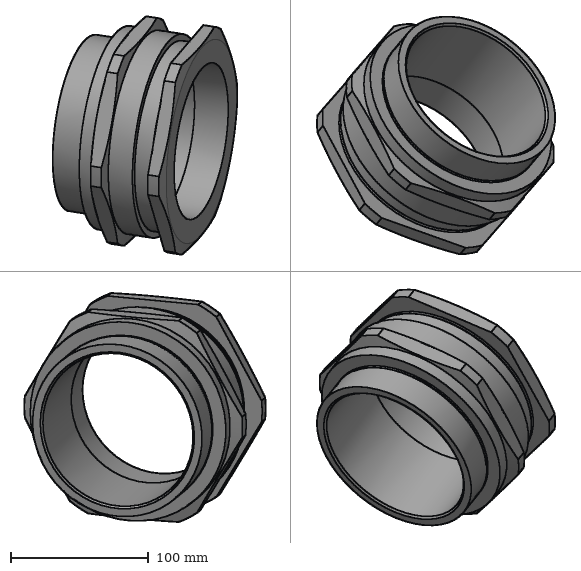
import cadquery as cq
import math

GROOVE_START = 22.3
COLLAR_START = 24.3
HEX_START = 33.8
HEX_END = 46.7
BODY_END = 65.3
SCREW_GROOVE_START = 78.0
CAP_HEX_START = 80.5
TOTAL_LENGTH = 91.3

BORE_RADIUS = 57.6
BORE_CHAMFER = 1.5
THREAD_RADIUS = 65.0
COLLAR_RADIUS = 75.0
SCREW_RADIUS = 70.2
THREAD_GROOVE_DEPTH = 1.2
SCREW_GROOVE_DEPTH = 1.5

ACROSS_FLATS = 152.5
CORNER_RADIUS = 83.8
FACE_RADIUS = COLLAR_RADIUS
BEVEL_LENGTH = 2.3


def revolve_about_x(outline):
    """Revolve a closed (x, radius) outline about the X axis."""
    return cq.Workplane("XY").polyline(outline).close().revolve(360, (0, 0, 0), (1, 0, 0))


def bevelled_hex(start, end, bevel_start):
    """Hexagon with turned corners, bevelled at its +X end and optionally at its -X end."""
    across_corners = ACROSS_FLATS / math.cos(math.pi / 6)
    prism = cq.Workplane("YZ", origin=(start, 0, 0)).polygon(6, across_corners).extrude(end - start)
    outline = [(start, 0)]
    if bevel_start:
        outline += [(start, FACE_RADIUS), (start + BEVEL_LENGTH, CORNER_RADIUS)]
    else:
        outline += [(start, CORNER_RADIUS)]
    outline += [(end - BEVEL_LENGTH, CORNER_RADIUS), (end, FACE_RADIUS), (end, 0)]
    return prism.intersect(revolve_about_x(outline))


def grooved_cylinder(start, groove_start, end, radius, depth):
    """Cylinder ending in a 45 degree run-out followed by a cone that rises to the shoulder."""
    return revolve_about_x([
        (start, 0),
        (start, radius),
        (groove_start, radius),
        (groove_start + depth, radius - depth),
        (end, radius),
        (end, 0),
    ])


def cylinder(start, end, radius):
    return cq.Workplane("YZ", origin=(start, 0, 0)).circle(radius).extrude(end - start)


def make_gland_body():
    """Entry thread, collar, hexagon and socket barrel with a chamfered bore mouth."""
    thread = grooved_cylinder(0, GROOVE_START, COLLAR_START, THREAD_RADIUS, THREAD_GROOVE_DEPTH)
    barrel = cylinder(COLLAR_START, BODY_END, COLLAR_RADIUS)
    bore = cylinder(0, BODY_END, BORE_RADIUS)
    mouth = revolve_about_x([
        (0, 0),
        (0, BORE_RADIUS + BORE_CHAMFER),
        (BORE_CHAMFER, BORE_RADIUS),
        (BORE_CHAMFER, 0),
    ])
    hexagon = bevelled_hex(HEX_START, HEX_END, bevel_start=True)
    return thread.union(barrel).union(hexagon).cut(bore).cut(mouth)


def make_pressure_screw():
    """Cylindrical screw with a run-out groove under its hexagonal head."""
    shank = grooved_cylinder(
        BODY_END, SCREW_GROOVE_START, CAP_HEX_START, SCREW_RADIUS, SCREW_GROOVE_DEPTH
    )
    head = bevelled_hex(CAP_HEX_START, TOTAL_LENGTH, bevel_start=False)
    bore = cylinder(BODY_END, TOTAL_LENGTH, BORE_RADIUS)
    return shank.union(head).cut(bore)


gland_body = make_gland_body()
pressure_screw = make_pressure_screw()

result = cq.Compound.makeCompound([gland_body.val(), pressure_screw.val()])